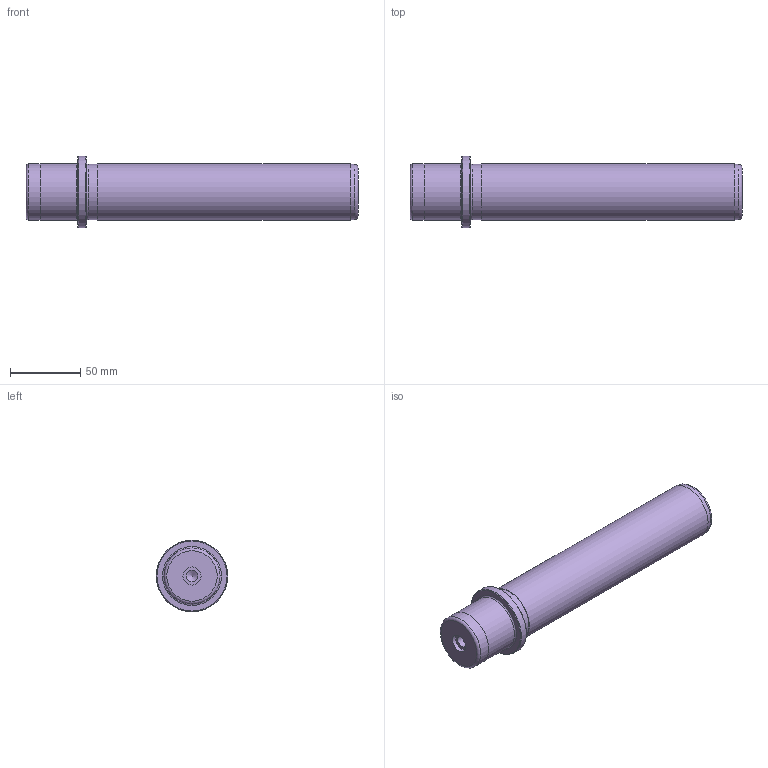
import cadquery as cq
import math


total_length = 237.0
lead_length = 10.0
flange_start = 37.0
flange_width = 6.0
neck_length = 8.0
tip_length = 5.5

flange_end = flange_start + flange_width
neck_end = flange_end + neck_length
tip_start = total_length - tip_length

body_diameter = 40.0
lead_clearance = 0.02
lead_diameter = body_diameter - lead_clearance
neck_diameter = 39.4
tip_end_diameter = 38.6
flange_diameter = 51.0

shank_end_fillet = 2.0
tip_fillet = 2.5
flange_edge_chamfer = 0.5
shank_corner_fillet = 1.0
neck_corner_fillet = 1.5

hole_diameter = 8.5
hole_depth = 20.0
drill_point_angle = 118.0
counterbore_diameter = 13.0
counterbore_depth = 3.0


def disc(start, length, diameter):
    """Solid cylinder along +X beginning at X = start."""
    return cq.Workplane("YZ", origin=(start, 0, 0)).circle(diameter / 2).extrude(length)


def turned(profile):
    """Solid of revolution about X from (x, radius) points."""
    return cq.Workplane("XY").polyline(profile).close().revolve(360, (0, 0, 0), (1, 0, 0))


def make_shank():
    """Seat behind a very slightly smaller, rounded lead section."""
    lead = disc(0, lead_length, lead_diameter).faces("<X").edges().fillet(shank_end_fillet)
    seat = disc(lead_length, flange_start - lead_length, body_diameter)
    return lead.union(seat)


def make_flange():
    flange = disc(flange_start, flange_width, flange_diameter)
    return flange.edges("%CIRCLE").chamfer(flange_edge_chamfer)


def make_tip():
    """Tapered free end with a rounded rim."""
    tip = turned([
        (tip_start, 0),
        (tip_start, body_diameter / 2),
        (total_length, tip_end_diameter / 2),
        (total_length, 0),
    ])
    return tip.faces(">X").edges().fillet(tip_fillet)


def make_guide():
    """Undercut neck, running length and tapered tip."""
    neck = disc(flange_end, neck_length, neck_diameter)
    running_length = disc(neck_end, tip_start - neck_end, body_diameter)
    return neck.union(running_length).union(make_tip())


def inner_corner(body, position):
    """Smallest circular edge in the plane at X = position, where a section meets the flange."""
    tolerance = 0.01
    plane_slab = cq.selectors.BoxSelector(
        (position - tolerance, -flange_diameter, -flange_diameter),
        (position + tolerance, flange_diameter, flange_diameter),
        boundingbox=True,
    )
    return body.edges(plane_slab).edges(cq.selectors.RadiusNthSelector(0))


def make_hole():
    """Counterbored blind hole with a conical drill point."""
    bore_radius = hole_diameter / 2
    counterbore_radius = counterbore_diameter / 2
    point_length = bore_radius / math.tan(math.radians(drill_point_angle / 2))
    return turned([
        (0, 0),
        (0, counterbore_radius),
        (counterbore_depth, counterbore_radius),
        (counterbore_depth, bore_radius),
        (hole_depth, bore_radius),
        (hole_depth + point_length, 0),
    ])


pillar = make_shank().union(make_flange()).union(make_guide())
pillar = inner_corner(pillar, flange_start).fillet(shank_corner_fillet)
pillar = inner_corner(pillar, flange_end).fillet(neck_corner_fillet)
result = pillar.cut(make_hole())